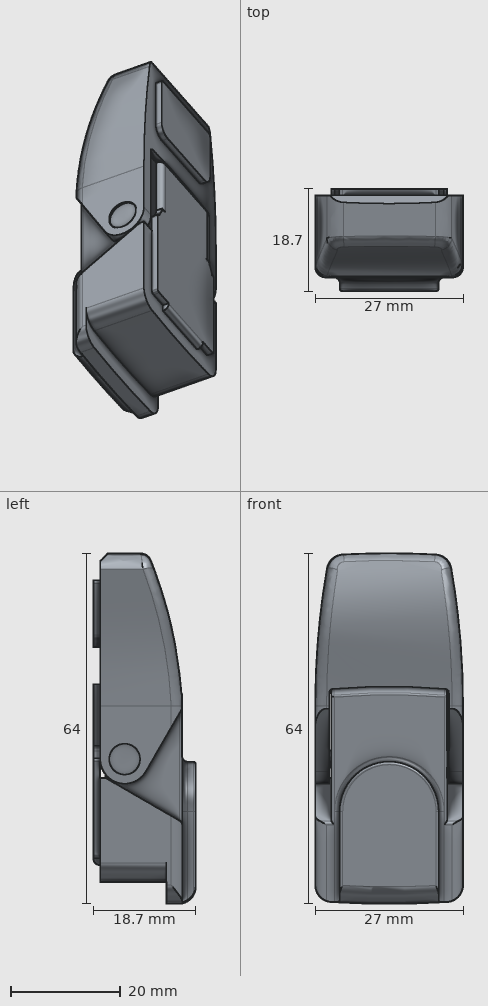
import cadquery as cq
import math


HEIGHT = 64.0
HALF_WIDTH = 13.5
FRONT_Y = -15.0
BOW_RADIUS = 160.0
CORNER_RADIUS = 3.2
FRONT_ROUND = 2.05
MARGIN = 3.2

PIN_Y = -4.5
PIN_Z = 26.4
KNUCKLE_RADIUS = -PIN_Y
SLOPE_ANGLE = math.radians(30)

HOOD_TAPER_Z = 36.15
HOOD_SIDE_RADIUS = 147.2
HOOD_FRONT_MID = (-13.3, 49.3)
HOOD_FRONT_TOP_Y = -8.7
HOOD_CHAMFER = 1.5
SLOT_RADIUS = 16.8
SLOT_HALF_WIDTH = 10.9
SLOT_CORNER = 0.65

LIP_BACK_Y = -12.1
LEAF_BOTTOM_Z = 4.0
LEAF_TOP_Z = 23.05
TONGUE_BACK_Y = -0.95
SLOPE_ROUND = 0.9
SLOPE_END_Z = LEAF_TOP_Z - (TONGUE_BACK_Y - FRONT_Y) * math.tan(SLOPE_ANGLE)
TONGUE_HALF_WIDTH = 10.55
TONGUE_RADIUS = 15.95
TONGUE_ROUND = 0.5

BUTTON_RADIUS = 9.0
BUTTON_FRONT_Y = -17.5
BUTTON_CENTER_Z = 16.95
BUTTON_ROUND = 0.5
BUTTON_BOTTOM_ROUND = 3.2
BUTTON_BASE_FILLET = 0.95

SIDES = (-1, 1)
PIN_HEAD_RADIUS = 2.8
PIN_HEAD_LENGTH = 1.3
PIN_SHANK_RADIUS = 1.6
PIN_SHANK_LENGTH = 5.1
PIN_RECESS = 0.4

PAD_THICKNESS = 1.2
PAD_CORNER = 0.6
PAD_EDGE_ROUND = 1.15
UPPER_PAD_HALF_WIDTH = 9.1
UPPER_PAD_BOTTOM_Z = 46.85
UPPER_PAD_TOP_Z = 59.1
UPPER_PAD_BOTTOM_CORNER = 2.25
LOWER_PAD_BOTTOM_Z = 8.4
LOWER_PAD_SHOULDER_Z = 26.6
NECK_HALF_WIDTH = 8.9
NECK_TOP_Z = 40.1
NECK_FILLET = 1.8
NECK_SQUARE_LENGTH = 0.5
SHOULDER_LEDGE = 0.65
TAIL_HALF_WIDTH = 6.4
TAIL_BOTTOM_Z = 7.1


def bow_drop(half_width):
    """How far a bowed end face falls back from its middle to the given half width."""
    return BOW_RADIUS - math.sqrt(BOW_RADIUS**2 - half_width**2)


def front_sketch(y):
    """Workplane facing the front: local x is X, local y is Z; extruding runs toward -Y."""
    return cq.Workplane("XZ", origin=(0, y, 0))


def block(half_width, back_y, front_y, bottom_z, top_z):
    """Box centred on X = 0."""
    return cq.Workplane("XY").box(
        2 * half_width, back_y - front_y, top_z - bottom_z, centered=(True, False, False)
    ).translate((0, front_y, bottom_z))


def barrel(radius, half_width):
    """Drum about the hinge axis, slightly larger in the middle."""
    end_radius = radius - bow_drop(half_width)
    return (
        cq.Workplane("XY", origin=(0, PIN_Y, PIN_Z))
        .moveTo(-half_width, 0)
        .lineTo(-half_width, end_radius)
        .threePointArc((0, radius), (half_width, end_radius))
        .lineTo(half_width, 0)
        .close()
        .revolve(360, (0, 0), (1, 0))
    )


def hood_blank():
    """Tapered hood before the hinge end is shaped."""
    side_center_x = HOOD_SIDE_RADIUS - HALF_WIDTH

    def side_x(z):
        return math.sqrt(HOOD_SIDE_RADIUS**2 - (z - HOOD_TAPER_Z) ** 2) - side_center_x

    top_half = side_x(HEIGHT)
    top_z = HEIGHT - bow_drop(top_half)
    mid_z = (HOOD_TAPER_Z + top_z) / 2
    bottom_z = PIN_Z - KNUCKLE_RADIUS
    outline = (
        front_sketch(0)
        .moveTo(-HALF_WIDTH, bottom_z)
        .lineTo(-HALF_WIDTH, HOOD_TAPER_Z)
        .threePointArc((-side_x(mid_z), mid_z), (-side_x(top_z), top_z))
        .threePointArc((0, HEIGHT), (side_x(top_z), top_z))
        .threePointArc((side_x(mid_z), mid_z), (HALF_WIDTH, HOOD_TAPER_Z))
        .lineTo(HALF_WIDTH, bottom_z)
        .close()
        .extrude(-FRONT_Y + MARGIN)
        .edges("|Y")
        .edges(">Z")
        .fillet(CORNER_RADIUS)
    )
    side = (
        cq.Workplane("YZ")
        .moveTo(0, bottom_z)
        .lineTo(FRONT_Y, bottom_z)
        .lineTo(FRONT_Y, HOOD_TAPER_Z)
        .threePointArc(HOOD_FRONT_MID, (HOOD_FRONT_TOP_Y, HEIGHT))
        .lineTo(0, HEIGHT)
        .close()
        .extrude(HALF_WIDTH, both=True)
    )
    return outline.intersect(side)


def hinge_end_profile():
    """Region kept of the hood: a knuckle about the pin running tangent up to the front."""
    tangent_y = PIN_Y - KNUCKLE_RADIUS * math.cos(SLOPE_ANGLE)
    tangent_z = PIN_Z - KNUCKLE_RADIUS * math.sin(SLOPE_ANGLE)
    reach_y = FRONT_Y - MARGIN
    reach_z = tangent_z + (tangent_y - reach_y) / math.tan(SLOPE_ANGLE)
    return (
        cq.Workplane("YZ")
        .moveTo(0, HEIGHT)
        .lineTo(0, PIN_Z)
        .threePointArc((PIN_Y, PIN_Z - KNUCKLE_RADIUS), (tangent_y, tangent_z))
        .lineTo(reach_y, reach_z)
        .lineTo(reach_y, HEIGHT)
        .close()
        .extrude(HALF_WIDTH, both=True)
    )


def front_edges(half_width, back_y, bottom_z, top_z):
    """Selector for edges whose middle lies in the front part of a body."""
    return cq.selectors.BoxSelector(
        (-half_width - MARGIN, FRONT_Y - MARGIN, bottom_z),
        (half_width + MARGIN, back_y, top_z),
    )


def make_hood():
    """Hood with rounded front edges, a slot for the tongue and holes for the pins."""
    hood = hood_blank()
    hood = (
        hood.edges(front_edges(HALF_WIDTH, HOOD_FRONT_TOP_Y + 0.65, PIN_Z, HEIGHT))
        .edges("not |X")
        .fillet(FRONT_ROUND)
    )
    hood = hood.intersect(hinge_end_profile())
    slot = barrel(SLOT_RADIUS, SLOT_HALF_WIDTH).edges("%CIRCLE").fillet(SLOT_CORNER)
    hood = hood.cut(slot)
    back_chamfer = (
        cq.Workplane("YZ")
        .moveTo(0, HEIGHT - HOOD_CHAMFER)
        .lineTo(-HOOD_CHAMFER, HEIGHT)
        .lineTo(0, HEIGHT)
        .close()
        .extrude(HALF_WIDTH, both=True)
    )
    return cut_pins(hood.cut(back_chamfer))


def bowed_plate(half_width, back_y, front_y, bottom_z, top_z):
    """Plate whose lower end is bowed."""
    corner_z = bottom_z + bow_drop(half_width)
    return (
        front_sketch(back_y)
        .moveTo(-half_width, top_z)
        .lineTo(-half_width, corner_z)
        .threePointArc((0, bottom_z), (half_width, corner_z))
        .lineTo(half_width, top_z)
        .close()
        .extrude(back_y - front_y)
    )


def leaf_base():
    """Lower part of the leaf: a full-depth block with a front lip that hangs lower."""
    lip = bowed_plate(HALF_WIDTH, LIP_BACK_Y, FRONT_Y, 0, LEAF_TOP_Z)
    rear = bowed_plate(HALF_WIDTH, 0, LIP_BACK_Y, LEAF_BOTTOM_Z, LEAF_TOP_Z)
    lip = lip.edges("|Y").edges("<Z").fillet(CORNER_RADIUS)
    rear = rear.edges("|Y").edges("<Z").fillet(CORNER_RADIUS)
    rounding = block(HALF_WIDTH, 0, FRONT_Y, 0, LEAF_TOP_Z).edges("|Z and <Y").fillet(FRONT_ROUND)
    slope = (
        cq.Workplane("YZ")
        .moveTo(TONGUE_BACK_Y, LEAF_TOP_Z)
        .lineTo(FRONT_Y, SLOPE_END_Z)
        .lineTo(FRONT_Y, LEAF_TOP_Z)
        .close()
        .extrude(HALF_WIDTH, both=True)
    )
    base = lip.union(rear).cut(slope)
    base = base.faces("<Y").edges(">Z").fillet(SLOPE_ROUND)
    return base.intersect(rounding)


def tongue():
    """Centre strip that reaches up into the slot of the hood, rounded about the pins."""
    bottom_z = SLOPE_END_Z - 2 * SLOPE_ROUND
    lower = block(TONGUE_HALF_WIDTH, TONGUE_BACK_Y, FRONT_Y, bottom_z, PIN_Z)
    upper = block(TONGUE_HALF_WIDTH, TONGUE_BACK_Y, FRONT_Y, PIN_Z, HEIGHT)
    strip = lower.union(upper.intersect(barrel(TONGUE_RADIUS, TONGUE_HALF_WIDTH)))
    rounded = front_edges(TONGUE_HALF_WIDTH, TONGUE_BACK_Y - 0.65, bottom_z + 0.65, HEIGHT)
    return strip.edges(rounded).fillet(TONGUE_ROUND)


def button():
    """Raised pad with a round top, a flared base and a rounded, bowed bottom end."""
    foot_half = TONGUE_HALF_WIDTH - TONGUE_ROUND
    foot = block(foot_half, LIP_BACK_Y, FRONT_Y, -MARGIN, BUTTON_CENTER_Z + foot_half)
    raised = (
        front_sketch(FRONT_Y)
        .moveTo(-BUTTON_RADIUS, -MARGIN)
        .lineTo(-BUTTON_RADIUS, BUTTON_CENTER_Z)
        .threePointArc((0, BUTTON_CENTER_Z + BUTTON_RADIUS), (BUTTON_RADIUS, BUTTON_CENTER_Z))
        .lineTo(BUTTON_RADIUS, -MARGIN)
        .close()
        .extrude(FRONT_Y - BUTTON_FRONT_Y)
    )
    raised = raised.faces("<Y").edges("not <Z").fillet(BUTTON_ROUND)
    raised = foot.union(raised)
    base_edges = cq.selectors.BoxSelector(
        (-foot_half + BUTTON_ROUND, FRONT_Y - PAD_CORNER / 2, 0),
        (foot_half - BUTTON_ROUND, FRONT_Y + PAD_CORNER / 2, BUTTON_CENTER_Z + BUTTON_RADIUS),
    )
    raised = raised.edges(base_edges).fillet(BUTTON_BASE_FILLET)
    bottom_end = bowed_plate(foot_half, LIP_BACK_Y, BUTTON_FRONT_Y, 0, HEIGHT)
    bottom_end = bottom_end.faces("<Y").edges("<Z").fillet(BUTTON_BOTTOM_ROUND)
    return raised.intersect(bottom_end)


def make_leaf():
    """Leaf: base, tongue and raised pad in one piece, with holes for the pin shanks."""
    leaf = leaf_base().union(tongue()).union(button())
    return cut_pins(leaf)


def pin_cylinder(side, radius, start, length):
    """Cylinder on the hinge axis that begins the given depth inside the outer side."""
    return (
        cq.Workplane("YZ", origin=(side * (HALF_WIDTH - start), PIN_Y, 0))
        .center(0, PIN_Z)
        .circle(radius)
        .extrude(-side * length)
    )


def make_pin(side):
    """Stepped pin: a recessed head in the hood arm and a shank in the tongue."""
    head = pin_cylinder(side, PIN_HEAD_RADIUS, PIN_RECESS, PIN_HEAD_LENGTH)
    shank = pin_cylinder(side, PIN_SHANK_RADIUS, PIN_RECESS + PIN_HEAD_LENGTH, PIN_SHANK_LENGTH)
    return head.union(shank)


def cut_pins(body):
    """Cut the holes for both pins, including the recess outside each head."""
    for side in SIDES:
        recess = pin_cylinder(side, PIN_HEAD_RADIUS, 0, PIN_RECESS)
        body = body.cut(recess).cut(make_pin(side))
    return body


def make_upper_pad():
    """Flat pad behind the hood."""
    pad = block(UPPER_PAD_HALF_WIDTH, PAD_THICKNESS, 0, UPPER_PAD_BOTTOM_Z, UPPER_PAD_TOP_Z)
    pad = pad.edges("|Y and >Z").fillet(PAD_CORNER)
    return pad.edges("|Y and <Z").fillet(UPPER_PAD_BOTTOM_CORNER)


def make_lower_pad():
    """Plate with sloped shoulders, a round-edged neck above and a short tail below."""
    shoulder_half = TONGUE_HALF_WIDTH - SHOULDER_LEDGE
    neck_z = LOWER_PAD_SHOULDER_Z + (shoulder_half - NECK_HALF_WIDTH) / math.tan(SLOPE_ANGLE)
    neck_start_z = neck_z + NECK_SQUARE_LENGTH
    left_side = [
        (-TONGUE_HALF_WIDTH, LOWER_PAD_BOTTOM_Z),
        (-TONGUE_HALF_WIDTH, LOWER_PAD_SHOULDER_Z),
        (-shoulder_half, LOWER_PAD_SHOULDER_Z),
        (-NECK_HALF_WIDTH, neck_z),
        (-NECK_HALF_WIDTH, neck_start_z),
    ]
    right_side = [(-x, z) for x, z in reversed(left_side)]
    plate = front_sketch(PAD_THICKNESS).polyline(left_side + right_side).close().extrude(PAD_THICKNESS)
    plate = plate.edges("|Y").edges("<X or >X").fillet(PAD_CORNER)
    neck_corners = cq.selectors.BoxSelector(
        (-NECK_HALF_WIDTH - PAD_CORNER / 2, 0, neck_z - PAD_CORNER / 2),
        (NECK_HALF_WIDTH + PAD_CORNER / 2, PAD_THICKNESS, neck_z + PAD_CORNER / 4),
    )
    plate = plate.edges("|Y").edges(neck_corners).fillet(NECK_FILLET)
    neck = block(NECK_HALF_WIDTH, PAD_THICKNESS, 0, neck_start_z, NECK_TOP_Z)
    neck = neck.edges("|Z and >Y").fillet(PAD_EDGE_ROUND)
    tail = block(TAIL_HALF_WIDTH, PAD_THICKNESS, 0, TAIL_BOTTOM_Z, LOWER_PAD_SHOULDER_Z)
    tail = tail.edges("|X and >Y and <Z").fillet(PAD_EDGE_ROUND)
    return plate.union(neck).union(tail)


hood = make_hood()
leaf = make_leaf()
pins = [make_pin(side) for side in SIDES]
upper_pad = make_upper_pad()
lower_pad = make_lower_pad()

result = cq.Compound.makeCompound(
    [hood.val(), leaf.val(), upper_pad.val(), lower_pad.val()] + [pin.val() for pin in pins]
)